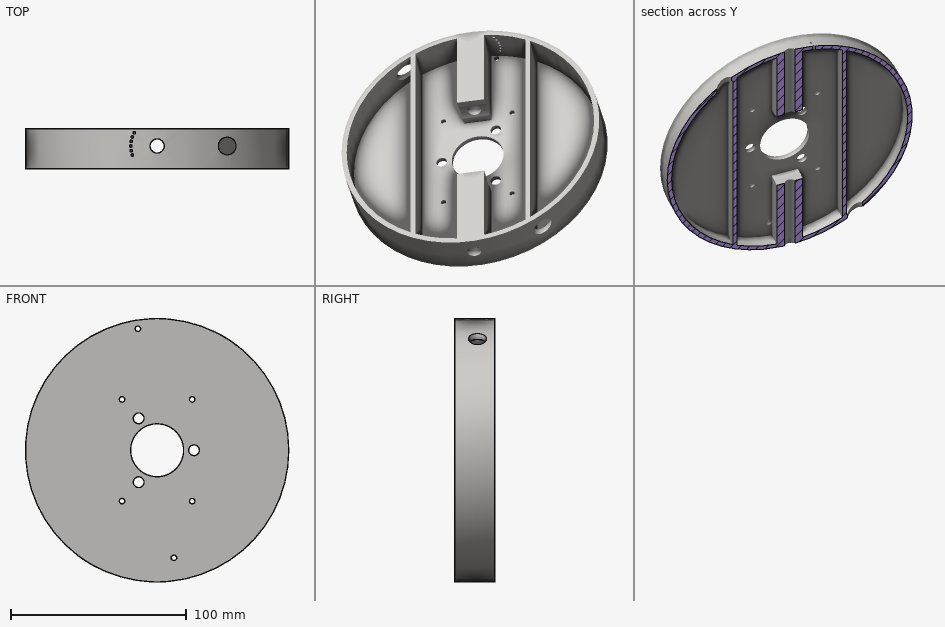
import cadquery as cq
import math

outer_diameter = 150.0
depth = 23.0
rim_thickness = 3.0
plate_thickness = 3.0

bore_diameter = 30.0
large_screw_diameter = 6.0
large_screw_radius = 21.0
large_screw_count = 3
small_screw_diameter = 3.0
small_screw_spacing_x = 39.9
small_screw_spacing_z = 57.9
upper_pin_hole = (-11.0, 69.2)
lower_pin_hole = (9.6, -61.2)

rim_hole_y = 13.0
middle_hole_diameter = 8.0
side_hole_diameter = 10.0
side_hole_x = 39.9

marker_diameter = 1.5
marker_radius = 15.0
marker_step = 10
marker_first = 150
marker_count = 6

side_rib_inner_x = 32.1
side_rib_thickness = 2.7
guide_block_width = 15.9
guide_block_end = 25.5
guide_groove_width = 11.1
guide_groove_depth = 1.0

outer_radius = outer_diameter / 2
cavity_depth = depth - plate_thickness


def front_cylinder(diameter, length, x=0.0, z=0.0, y=0.0):
    """Cylinder parallel to Y that starts at y and runs towards the back."""
    return cq.Workplane("XZ", origin=(x, y, z)).circle(diameter / 2).extrude(-length)


def rim_cylinder(diameter, x, y, side):
    """Cylinder parallel to Z from mid-height out through the top (1) or bottom (-1) of the rim."""
    return cq.Workplane("XY", origin=(x, y, 0)).circle(diameter / 2).extrude(side * outer_radius)


def housing():
    cavity = front_cylinder(outer_diameter - 2 * rim_thickness, cavity_depth, y=plate_thickness)
    ribs = side_ribs().union(guide_blocks()).intersect(front_cylinder(outer_diameter, depth))
    return front_cylinder(outer_diameter, depth).cut(cavity).union(ribs)


def side_ribs():
    """Two upright walls that run from rim to rim on either side of the bore."""
    rib_x = side_rib_inner_x + side_rib_thickness / 2
    return (
        cq.Workplane("XZ")
        .pushPoints([(-rib_x, 0), (rib_x, 0)])
        .rect(side_rib_thickness, outer_diameter)
        .extrude(-depth)
    )


def guide_blocks():
    """Blocks that carry the middle rim holes inwards; each inner end has a shallow groove along X."""
    lower = (
        cq.Workplane("YZ", origin=(-guide_block_width / 2, 0, 0))
        .moveTo(0, -outer_radius)
        .lineTo(0, -guide_block_end)
        .lineTo(rim_hole_y - guide_groove_width / 2, -guide_block_end)
        .threePointArc(
            (rim_hole_y, -guide_block_end - guide_groove_depth),
            (rim_hole_y + guide_groove_width / 2, -guide_block_end),
        )
        .lineTo(depth, -guide_block_end)
        .lineTo(depth, -outer_radius)
        .close()
        .extrude(guide_block_width)
    )
    return lower.union(lower.mirror("XY"))


def plate_holes():
    holes = front_cylinder(bore_diameter, plate_thickness)
    for i in range(large_screw_count):
        angle = math.radians(i * 360 / large_screw_count)
        x = large_screw_radius * math.cos(angle)
        z = large_screw_radius * math.sin(angle)
        holes = holes.add(front_cylinder(large_screw_diameter, plate_thickness, x, z))
    corner_x = small_screw_spacing_x / 2
    corner_z = small_screw_spacing_z / 2
    corners = [(i * corner_x, j * corner_z) for i in (-1, 1) for j in (-1, 1)]
    for x, z in corners + [upper_pin_hole, lower_pin_hole]:
        holes = holes.add(front_cylinder(small_screw_diameter, plate_thickness, x, z))
    return holes


def rim_holes():
    holes = cq.Workplane()
    for side in (1, -1):
        holes = holes.add(rim_cylinder(middle_hole_diameter, 0, rim_hole_y, side))
        holes = holes.add(rim_cylinder(side_hole_diameter, side * side_hole_x, rim_hole_y, side))
    for i in range(marker_count):
        angle = math.radians(marker_first + i * marker_step)
        x = marker_radius * math.cos(angle)
        y = rim_hole_y + marker_radius * math.sin(angle)
        holes = holes.add(rim_cylinder(marker_diameter, x, y, 1))
    return holes


result = housing()
for cutter in plate_holes().vals() + rim_holes().vals():
    result = result.cut(cq.Workplane(cutter))